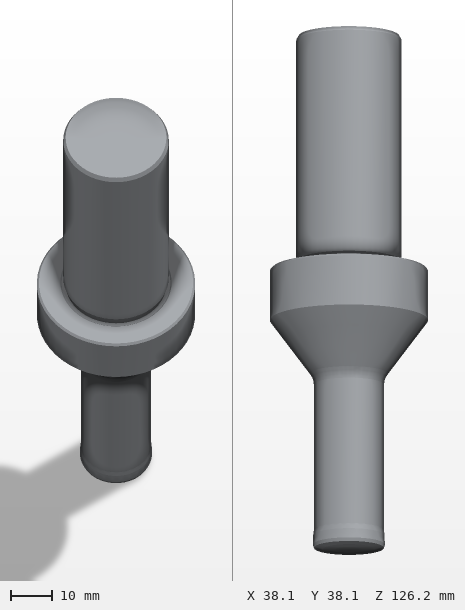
import cadquery as cq
import math

total_height = 126.16
collar_top = 69.0
collar_bottom = 56.4

shank_radius = 25.4 / 2
lead_in_length = 1.0
lead_in_angle = math.radians(30)

neck_radius = 12.2
neck_top = 70.4
recess_radius = 13.4
recess_depth = 0.3

collar_radius = 38.1 / 2
collar_chamfer = 0.5

cone_angle = math.radians(36.5)
blend_radius = 4.5
spigot_radius = 8.45

plug_top = 6.3
flare_angle = math.radians(7)
joint_height = 4.9
flare_bottom = 3.6
band_angle = math.radians(2)
band_bottom = 1.33
bevel_height = 0.5
bevel_radius = 8.4
dome_radius = 6.3
dome_height = 0.15
tip_face_radius = 3.6

plug_radius = spigot_radius - (plug_top - joint_height) * math.tan(flare_angle)


def make_holder():
    """Shank, collar, cone and spigot, with a tapered socket for the tip in the lower end."""
    lead_in_radius = shank_radius - lead_in_length * math.tan(lead_in_angle)
    shank_bottom = neck_top + (shank_radius - neck_radius)

    corner = collar_bottom - (collar_radius - spigot_radius) / math.tan(cone_angle)
    blend_end = corner - blend_radius * math.tan(cone_angle / 2)
    blend_centre = spigot_radius + blend_radius

    def blend_point(angle):
        return (blend_centre - blend_radius * math.cos(angle), blend_end + blend_radius * math.sin(angle))

    profile = (
        cq.Workplane("XZ")
        .moveTo(0, total_height)
        .lineTo(lead_in_radius, total_height)
        .lineTo(shank_radius, total_height - lead_in_length)
        .lineTo(shank_radius, shank_bottom)
        .lineTo(neck_radius, neck_top)
        .lineTo(neck_radius, collar_top - recess_depth)
        .lineTo(recess_radius - recess_depth, collar_top - recess_depth)
        .lineTo(recess_radius, collar_top)
        .lineTo(collar_radius - collar_chamfer, collar_top)
        .lineTo(collar_radius, collar_top - collar_chamfer)
        .lineTo(collar_radius, collar_bottom)
        .lineTo(*blend_point(cone_angle))
        .threePointArc(blend_point(cone_angle / 2), blend_point(0))
        .lineTo(spigot_radius, joint_height)
        .lineTo(plug_radius, plug_top)
        .lineTo(0, plug_top)
        .close()
    )
    return profile.revolve(360, (0, 0), (0, 1))


def make_tip():
    """Plug seated in the spigot's socket, with the flared band and bevel below it."""
    flare_radius = plug_radius + (plug_top - flare_bottom) * math.tan(flare_angle)
    band_radius = flare_radius + (flare_bottom - band_bottom) * math.tan(band_angle)
    profile = (
        cq.Workplane("XZ")
        .moveTo(0, plug_top)
        .lineTo(plug_radius, plug_top)
        .lineTo(flare_radius, flare_bottom)
        .lineTo(band_radius, band_bottom)
        .lineTo(bevel_radius, bevel_height)
        .lineTo(dome_radius, dome_height)
        .lineTo(tip_face_radius, 0)
        .lineTo(0, 0)
        .close()
    )
    return profile.revolve(360, (0, 0), (0, 1))


holder = make_holder()
tip = make_tip()

result = cq.Compound.makeCompound([holder.val(), tip.val()])